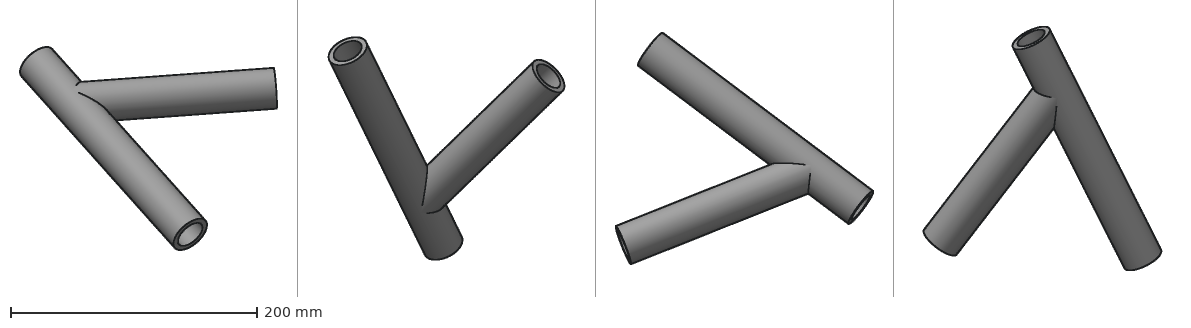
import cadquery as cq
import math

run_length = 216.0
outer_diameter = 33.5
bore_diameter = 24.5

branch_start = 50.7
branch_angle = 60.0
branch_length = 165.0


def cylinder(diameter, length, start_x, angle):
    """Cylinder from a point on the X axis, turned by an angle towards +Y."""
    turn = math.radians(angle)
    direction = cq.Vector(math.cos(turn), math.sin(turn), 0)
    start = cq.Vector(start_x, 0, 0)
    return cq.Workplane(cq.Solid.makeCylinder(diameter / 2, length, start, direction))


def run_and_branch(diameter):
    """Both pipe axes filled to one diameter."""
    run = cylinder(diameter, run_length, 0, 0)
    branch = cylinder(diameter, branch_length, branch_start, branch_angle)
    return run.union(branch)


result = run_and_branch(outer_diameter).cut(run_and_branch(bore_diameter))